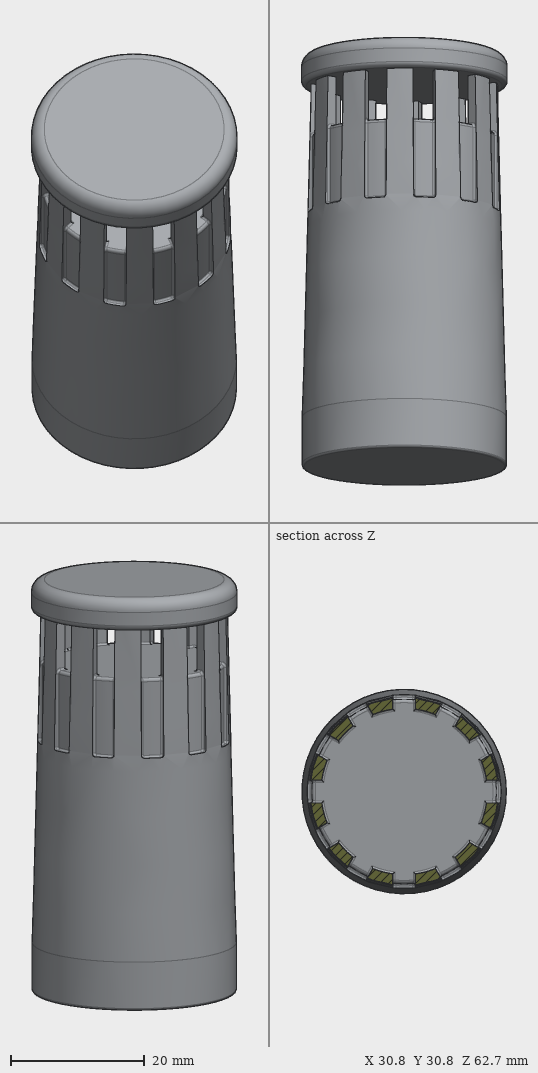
import cadquery as cq
import math

height = 62.7
slot_count = 12

base_diameter = 30.6
base_height = 7.4
base_edge_radius = 0.3
neck_diameter = 27.95

cap_diameter = 30.8
cap_underside_diameter = 29.3
cap_bottom = 57.95
cap_top_radius = 1.95
cap_bottom_radius = (cap_diameter - cap_underside_diameter) / 2

core_diameter = 27.6
core_top = 50.35
core_edge_radius = 0.5
chamber_diameter = 24.8

slot_width = 3.4
slot_bottom = 38.3
slot_corner_radius = 0.45
slot_fillet_radius = 0.3


def make_wall():
    """Base band and conical wall, bored out down to the bottom of the slots."""
    base_radius = base_diameter / 2
    profile = [
        (0, 0),
        (base_radius, 0),
        (base_radius, base_height),
        (neck_diameter / 2, cap_bottom),
        (0, cap_bottom),
    ]
    solid = cq.Workplane("XZ").polyline(profile).close().revolve(360, (0, 0, 0), (0, 1, 0))
    solid = solid.faces("<Z").edges().fillet(base_edge_radius)
    bore = (
        cq.Workplane("XY")
        .workplane(offset=slot_bottom)
        .circle(chamber_diameter / 2)
        .extrude(cap_bottom - slot_bottom)
    )
    return solid.cut(bore)


def cut_slots(wall):
    """Equally spaced slots through the wall, open up to the cap, with rounded lower corners."""
    slot_height = cap_bottom - slot_bottom
    for index in range(slot_count):
        slot = (
            cq.Workplane("XY")
            .box(base_diameter, slot_width, slot_height, centered=(False, True, False))
            .edges("|X and <Z")
            .fillet(slot_corner_radius)
            .translate((0, 0, slot_bottom))
            .rotate((0, 0, 0), (0, 0, 1), index * 360 / slot_count)
        )
        wall = wall.cut(slot)
    return wall


def make_core():
    """Round plug that closes the lower part of every slot."""
    core = (
        cq.Workplane("XY")
        .workplane(offset=base_height)
        .circle(core_diameter / 2)
        .extrude(core_top - base_height)
    )
    return core.faces(">Z").edges().fillet(core_edge_radius)


def make_cap():
    """Overhanging lid with rounded rims."""
    cap = (
        cq.Workplane("XY")
        .workplane(offset=cap_bottom)
        .circle(cap_diameter / 2)
        .extrude(height - cap_bottom)
    )
    cap = cap.faces(">Z").edges().fillet(cap_top_radius)
    return cap.faces("<Z").edges().fillet(cap_bottom_radius)


def is_slot_corner(edge):
    """True for an inside edge where the foot of a rib, or the bottom of a slot, meets the core."""
    tolerance = 0.005
    center = edge.Center()
    box = edge.BoundingBox()
    radius = math.hypot(center.x, center.y)
    on_core = radius < core_diameter / 2 + tolerance
    within_height = box.zmin > slot_bottom - tolerance and box.zmax < core_top + tolerance
    above_slot_bottom = box.zmin > slot_bottom + tolerance
    is_level_arc = edge.geomType() == "CIRCLE" and box.zmax - box.zmin < tolerance
    on_core_rim = is_level_arc and above_slot_bottom and radius > chamber_diameter / 2 + tolerance
    return on_core and within_height and not on_core_rim


def round_slot_corners(body):
    """Fillet along the foot of each rib, where it stands on the core."""
    corners = [edge for edge in body.edges().vals() if is_slot_corner(edge)]
    return body.newObject(corners).fillet(slot_fillet_radius)


body = cut_slots(make_wall()).union(make_core())
result = round_slot_corners(body).union(make_cap())